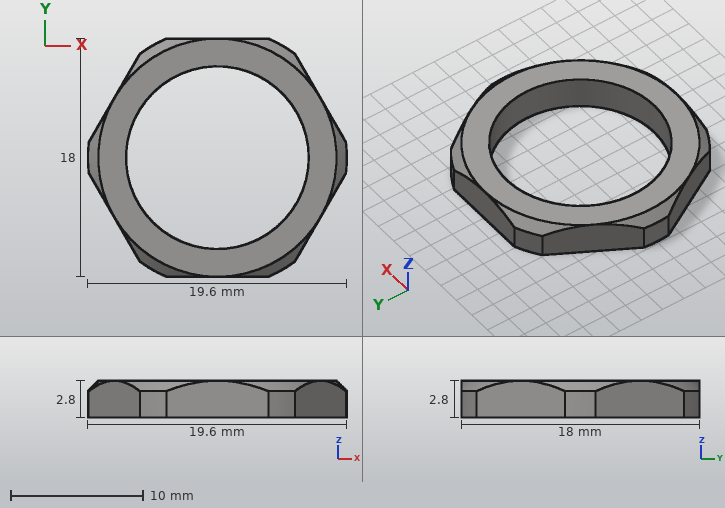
import cadquery as cq
import math

corner_diameter = 19.58
across_flats = 18.0
thickness = 2.8
bore_diameter = 13.78

chamfer_size = (corner_diameter - across_flats) / 2
hexagon_diameter = across_flats / math.cos(math.pi / 6)


def chamfered_blank():
    """Round disc with its top edge chamfered."""
    disc = cq.Workplane("XY").circle(corner_diameter / 2).extrude(thickness)
    return disc.faces(">Z").edges().chamfer(chamfer_size)


def hexagon_prism():
    """Hexagon with corners on the X axis and flats facing +Y and -Y."""
    return cq.Workplane("XY").polygon(6, hexagon_diameter).extrude(thickness)


def bore():
    """Plain cylinder through the full thickness."""
    return cq.Workplane("XY").circle(bore_diameter / 2).extrude(thickness)


result = chamfered_blank().intersect(hexagon_prism()).cut(bore())